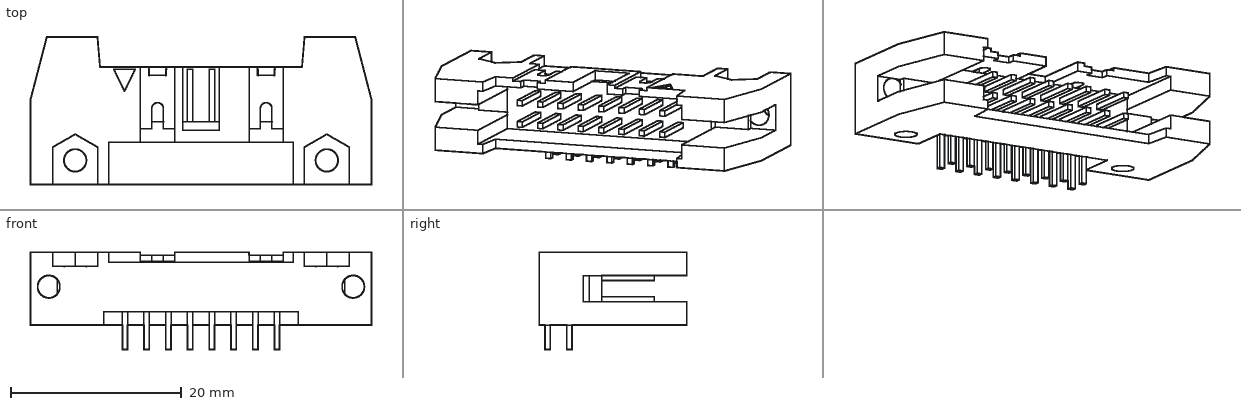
import cadquery as cq
import math


length = 39.9
height = 8.55
ear_tip_y = 17.3
mouth_y = 13.8
ear_bevel_start_y = 10.0
ear_bevel_inset = 1.9
ear_inner_tip_x = 12.1
ear_inner_base_x = 11.8
half_length = length / 2
mid_z = height / 2

pitch = 2.54
columns = 8
contact_size = 0.64
contact_end_y = 13.5
leg_drop = 2.85
leg_first_y = 1.0
leg_rows = 2

wall = 1.1
cavity_end_margin = 1.5 * pitch
cavity_length = (columns - 1) * pitch + 2 * cavity_end_margin
cavity_floor_y = 7.35
slot_height = 3.04
latch_floor_y = 5.9
latch_outer_floor_y = 5.17
latch_step_x = 16.83

top_recess_length = 21.6
top_recess_width = 5.0
top_recess_depth = 1.2
bottom_recess_length = 22.7
bottom_recess_width = 5.0
bottom_recess_depth = 1.55

hole_diameter = 2.6
mount_x = 14.72
mount_y = 2.85
nut_sides = 6
nut_half_angle = 180 / nut_sides
nut_flats = 5.3
nut_pocket_depth = 1.68
side_hole_x = 17.8
side_hole_z = 4.5

channel_centers = (-2 * pitch, 3 * pitch)
channel_width = 4.0
channel_depth = 0.36
channel_step_y = 6.55
key_slot_width = 1.35
key_slot_end_y = 9.6
mouth_notch_width = 2.05
mouth_notch_depth = 1.0

polarity_width = 4.25
polarity_floor_y = 6.4
mark_x = -8.95
mark_width = 2.5
mark_base_y = 13.5
mark_tip_y = 10.95
mark_depth = 0.2


def box(x_range, y_range, z_range):
    """Axis-aligned box between the given limits."""
    (x0, x1), (y0, y1), (z0, z1) = x_range, y_range, z_range
    return cq.Workplane("XY").box(x1 - x0, y1 - y0, z1 - z0, centered=False).translate((x0, y0, z0))


def centered(center, size):
    """Limits of an interval with the given center and size."""
    return (center - size / 2, center + size / 2)


def from_top(depth):
    """Limits in Z of a cut of the given depth in the top face."""
    return (height - depth, height)


def make_housing():
    right_side = [
        (half_length, 0),
        (half_length, ear_bevel_start_y),
        (half_length - ear_bevel_inset, ear_tip_y),
        (ear_inner_tip_x, ear_tip_y),
        (ear_inner_base_x, mouth_y),
    ]
    left_side = [(-x, y) for x, y in reversed(right_side)]
    return cq.Workplane("XY").polyline(right_side + left_side).close().extrude(height)


def cut_cavity(body):
    slot_z = centered(mid_z, slot_height)
    cavity = box(centered(0, cavity_length), (cavity_floor_y, ear_tip_y), (wall, height - wall))
    inner_slot = box(centered(0, 2 * latch_step_x), (latch_floor_y, ear_tip_y), slot_z)
    core = box(centered(0, cavity_length), (latch_floor_y, cavity_floor_y), slot_z)
    body = body.cut(cavity).cut(inner_slot.cut(core))
    for x_range in ((-half_length, -latch_step_x), (latch_step_x, half_length)):
        body = body.cut(box(x_range, (latch_outer_floor_y, ear_tip_y), slot_z))
    return body


def cut_front_recesses(body):
    top = box(centered(0, top_recess_length), (0, top_recess_width), from_top(top_recess_depth))
    bottom = box(centered(0, bottom_recess_length), (0, bottom_recess_width), (0, bottom_recess_depth))
    return body.cut(top).cut(bottom)


def cut_mounting(body):
    hole_radius = hole_diameter / 2
    nut_corners = nut_flats / math.cos(math.radians(nut_half_angle))
    nut_z = from_top(nut_pocket_depth)
    for side in (-1, 1):
        x = side * mount_x
        hole = cq.Workplane("XY").center(x, mount_y).circle(hole_radius).extrude(height)
        nut = cq.Workplane("XY").polygon(nut_sides, nut_corners).extrude(nut_pocket_depth)
        nut = nut.rotate((0, 0, 0), (0, 0, 1), nut_half_angle).translate((x, mount_y, nut_z[0]))
        opening = box(centered(x, nut_flats), (0, mount_y), nut_z)
        side_hole = cq.Workplane("XZ").center(side * side_hole_x, side_hole_z).circle(hole_radius)
        body = body.cut(hole).cut(nut).cut(opening).cut(side_hole.extrude(-latch_outer_floor_y))
    return body


def cut_channel(body, x):
    wall_z = from_top(wall)
    key_radius = key_slot_width / 2
    round_y = key_slot_end_y - key_radius
    channel = box(centered(x, channel_width), (top_recess_width, mouth_y), from_top(channel_depth))
    step = box(centered(x, channel_width), (top_recess_width, channel_step_y), wall_z)
    key_slot = box(centered(x, key_slot_width), (channel_step_y, round_y), wall_z)
    key_end = cq.Workplane("XY", origin=(x, round_y, wall_z[0])).circle(key_radius).extrude(wall)
    notch = box(centered(x, mouth_notch_width), (mouth_y - mouth_notch_depth, mouth_y), wall_z)
    return body.cut(channel).cut(step).cut(key_slot).cut(key_end).cut(notch)


def cut_polarity_notch(body):
    return body.cut(box(centered(0, polarity_width), (polarity_floor_y, mouth_y), from_top(wall)))


def cut_pin_one_mark(body):
    corners = [
        (mark_x - mark_width / 2, mark_base_y),
        (mark_x + mark_width / 2, mark_base_y),
        (mark_x, mark_tip_y),
    ]
    mark = cq.Workplane("XY", origin=(0, 0, height - mark_depth)).polyline(corners).close()
    return body.cut(mark.extrude(mark_depth))


def add_contacts(body):
    for column in range(columns):
        x_range = centered((column - (columns - 1) / 2) * pitch, contact_size)
        for row in range(leg_rows):
            leg_y = leg_first_y + row * pitch
            leg = box(x_range, centered(leg_y, contact_size), (-leg_drop, mid_z))
            blade_z = mid_z + (row - (leg_rows - 1) / 2) * pitch
            blade = box(x_range, (leg_y, contact_end_y), centered(blade_z, contact_size))
            body = body.union(leg).union(blade)
    return body


body = make_housing()
body = cut_cavity(body)
body = cut_front_recesses(body)
body = cut_mounting(body)
for channel_x in channel_centers:
    body = cut_channel(body, channel_x)
body = cut_polarity_notch(body)
body = cut_pin_one_mark(body)
result = add_contacts(body)